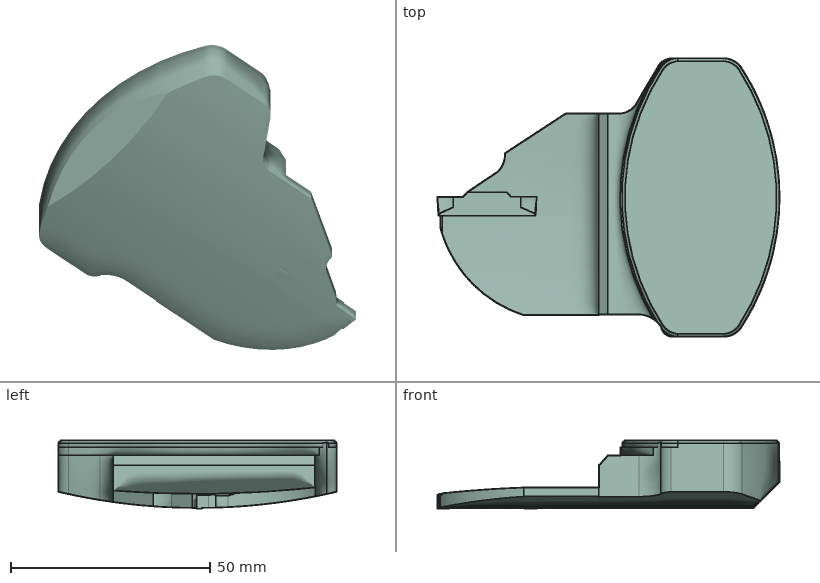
import cadquery as cq
import math

length = 86.0
height = 17.3
half_width = 35.0
underside_z = 0.215
underside_radius = 152.15
blade_top_z = 3.8
blade_top_radius = 273.35
end_bevel = 6.6

pad_half_length = 20.0
pad_side_radius = 60.0
pad_corner_radius = 5.5
pad_chamfer = 0.8
rim_height = 1.8
rim_setback = 0.4
rim_end_x = 60.4
pad_x = length - pad_half_length

shoulder_x = 40.6
shoulder_z = 13.4
shoulder_chamfer_x = 2.2
shoulder_chamfer_z = 2.5

front_flank_y = -29.6
shoulder_flank_y = -29.4
hollow_end_x = 56.1
hollow_end_y = -32.4
back_flank_y = 21.15
blade_tip_x = 0.73
nose_bevel = 0.5

insert_length = 24.9
insert_front_y = -4.55
insert_end_taper = 0.3
insert_kink_y = -2.75
insert_kink_inset = 0.1
insert_rib_y = 1.4
insert_rib_start = 6.4
insert_rib_slope = 1.2
insert_back_y = 0.13
tip_relief_length = 3.95
tip_relief_narrow_y = -2.5
tip_relief_front_y = -4.0
tip_relief_inset = 0.4
tip_relief_depth = 0.4
tip_bevel = 0.35
tip_foot_length = 2.9
tip_foot_width = 1.2


def curved_slab(bottom_z, radius, top_z):
    """Slab over the whole part whose underside is a cylinder along X."""
    sag = radius - math.sqrt(radius**2 - half_width**2)
    return (
        cq.Workplane("YZ")
        .moveTo(-half_width, top_z)
        .lineTo(-half_width, bottom_z + sag)
        .threePointArc((0, bottom_z), (half_width, bottom_z + sag))
        .lineTo(half_width, top_z)
        .close()
        .extrude(length)
    )


def pad_prism(setback, bottom_z):
    """Oval with flat ends, rounded corners and sides moved inward by setback."""
    radius = pad_side_radius - setback
    side_x = pad_half_length - setback
    corner_x = side_x - radius + math.sqrt(radius**2 - half_width**2)
    return (
        cq.Workplane("XY", origin=(pad_x, 0, bottom_z))
        .moveTo(-corner_x, -half_width)
        .lineTo(corner_x, -half_width)
        .threePointArc((side_x, 0), (corner_x, half_width))
        .lineTo(-corner_x, half_width)
        .threePointArc((-side_x, 0), (-corner_x, -half_width))
        .close()
        .extrude(height - bottom_z)
        .edges("|Z")
        .fillet(pad_corner_radius)
    )


def box_between(x0, x1, y0, y1, z0, z1):
    return cq.Workplane("XY").box(x1 - x0, y1 - y0, z1 - z0, centered=False).translate((x0, y0, z0))


def blade_side_prism():
    """Blade, shoulder and the blade-side half of the pad, at full height."""
    rib_corner_x = insert_rib_start + insert_rib_slope
    return (
        cq.Workplane("XY")
        .moveTo(pad_x, -half_width)
        .lineTo(58.6, -half_width)
        .threePointArc((57.0, -34.0), (hollow_end_x, hollow_end_y))
        .threePointArc((54.1, -30.4), (50.6, shoulder_flank_y))
        .lineTo(shoulder_x, shoulder_flank_y)
        .lineTo(shoulder_x, front_flank_y)
        .lineTo(21.7, front_flank_y)
        .threePointArc((8.2, -21.0), (blade_tip_x, -7.6))
        .lineTo(blade_tip_x, insert_front_y)
        .lineTo(rib_corner_x, insert_front_y)
        .lineTo(rib_corner_x, insert_rib_y)
        .lineTo(15.2, 6.5)
        .threePointArc((16.6, 8.7), (16.9, 11.1))
        .lineTo(32.3, back_flank_y)
        .lineTo(46.25, back_flank_y)
        .threePointArc((48.7, 22.2), (50.5, 24.5))
        .lineTo(55.2, 32.4)
        .threePointArc((56.65, 34.2), (59.0, half_width))
        .lineTo(pad_x, half_width)
        .close()
        .extrude(height)
    )


def above_shoulder(bottom_z, top_z, limit_x, front_y=-half_width):
    return box_between(0, limit_x, front_y, half_width, bottom_z, top_z)


def insert_outline():
    rib_end = insert_length - insert_rib_start
    return [
        (0, insert_back_y),
        (insert_rib_start, insert_back_y),
        (insert_rib_start + insert_rib_slope, insert_rib_y),
        (rib_end - insert_rib_slope, insert_rib_y),
        (rib_end, insert_back_y),
        (insert_length, insert_back_y),
        (insert_length - insert_kink_inset, insert_kink_y),
        (insert_length - insert_end_taper, insert_front_y),
        (insert_end_taper, insert_front_y),
        (insert_kink_inset, insert_kink_y),
    ]


def insert_prism():
    return cq.Workplane("XY").polyline(insert_outline()).close().extrude(height)


def top_edge_bevel(edge_x, size, top_z):
    """45 degree wedge along Y that trims an upper edge facing -X."""
    return (
        cq.Workplane("XZ", origin=(0, half_width, 0))
        .moveTo(edge_x, top_z - size)
        .lineTo(edge_x + size, top_z)
        .lineTo(edge_x + size, height)
        .lineTo(0, height)
        .lineTo(0, top_z - size)
        .close()
        .extrude(2 * half_width)
    )


def make_holder():
    rear_half = pad_prism(0, 0).intersect(box_between(pad_x, length, -half_width, half_width, 0, height))
    body = blade_side_prism().union(rear_half)
    body = body.intersect(curved_slab(underside_z, underside_radius, height))

    rim_z = height - rim_height
    body = body.cut(above_shoulder(shoulder_z, height, pad_x, hollow_end_y).cut(pad_prism(0, shoulder_z)))
    body = body.cut(above_shoulder(rim_z, height, rim_end_x).cut(pad_prism(rim_setback, rim_z)))
    chamfered_pad = pad_prism(0, shoulder_z).faces(">Z").chamfer(pad_chamfer)
    chamfered_rim = pad_prism(rim_setback, rim_z).faces(">Z").chamfer(pad_chamfer)
    body = body.cut(above_shoulder(rim_z, height, length).cut(chamfered_pad))
    body = body.cut(above_shoulder(rim_z, height, rim_end_x).cut(chamfered_rim))

    over_blade = curved_slab(blade_top_z, blade_top_radius, height)
    body = body.cut(over_blade.intersect(above_shoulder(0, height, shoulder_x)))
    body = body.cut(top_edge_bevel(blade_tip_x, nose_bevel, blade_top_z))
    shoulder_chamfer = (
        cq.Workplane("XZ", origin=(0, half_width, 0))
        .moveTo(shoulder_x, shoulder_z)
        .lineTo(shoulder_x + shoulder_chamfer_x, shoulder_z)
        .lineTo(shoulder_x, shoulder_z - shoulder_chamfer_z)
        .close()
        .extrude(2 * half_width)
    )
    body = body.cut(shoulder_chamfer)

    bevel = (
        cq.Workplane("XZ", origin=(0, half_width, 0))
        .moveTo(length, underside_z)
        .lineTo(length - end_bevel, underside_z)
        .lineTo(length, underside_z + end_bevel)
        .close()
        .extrude(2 * half_width)
    )
    return body.cut(bevel).cut(insert_prism())


def tip_foot():
    """Small pad under the cutting tip, reaching below the holder."""
    foot = box_between(0, tip_foot_length, insert_back_y - tip_foot_width, insert_back_y, 0, blade_top_z / 2)
    return foot.intersect(insert_prism())


def tip_relief():
    """Ramp in the insert's upper face, deepest along its back edge."""
    outline = (
        cq.Workplane("XY")
        .moveTo(0, insert_back_y)
        .lineTo(tip_relief_length, insert_back_y)
        .lineTo(tip_relief_length, tip_relief_narrow_y)
        .lineTo(tip_relief_inset, tip_relief_front_y)
        .lineTo(0, tip_relief_front_y)
        .close()
        .extrude(height)
    )
    ramp = (
        cq.Workplane("YZ")
        .moveTo(tip_relief_front_y, blade_top_z)
        .lineTo(insert_back_y, blade_top_z - tip_relief_depth)
        .lineTo(insert_back_y, height)
        .lineTo(tip_relief_front_y, height)
        .close()
        .extrude(tip_relief_length)
    )
    return outline.intersect(ramp)


def make_insert():
    body = insert_prism().intersect(curved_slab(underside_z, underside_radius, height))
    body = body.cut(curved_slab(blade_top_z, blade_top_radius, height))
    middle = (insert_length / 2, 0, 0)
    for turned in (False, True):
        foot = tip_foot()
        relief = tip_relief().union(top_edge_bevel(insert_kink_inset, tip_bevel, blade_top_z))
        if turned:
            foot = foot.mirror("YZ", middle)
            relief = relief.mirror("YZ", middle)
        body = body.union(foot).cut(relief)
    return body


holder = make_holder()
insert = make_insert()
result = cq.Compound.makeCompound([holder.val(), insert.val()])